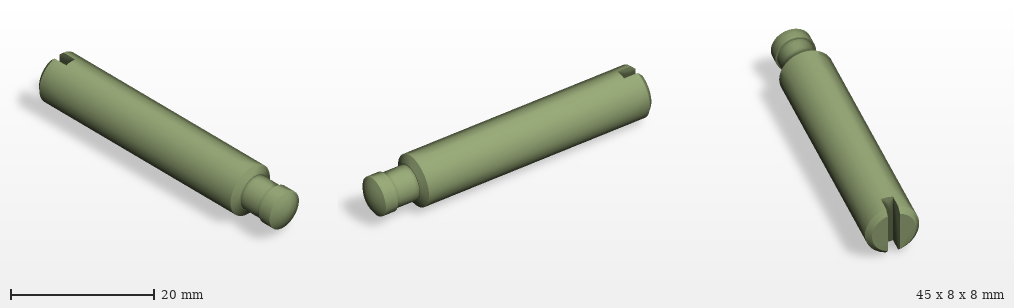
import cadquery as cq
import math

total_length = 45.0
shoulder_end = 38.2
head_start = 42.0
head_rim_end = 44.0

body_radius = 8.0 / 2
neck_radius = 5.4 / 2
head_radius = 6.0 / 2

slotted_end_chamfer = 0.75
shoulder_bevel_length = 0.7
shoulder_bevel_depth = 1.15

slot_width = 1.8
slot_depth = 3.0


def turned_body():
    """Revolve the half profile of the pin about the X axis."""
    dome_height = total_length - head_rim_end
    dome_radius = (head_radius**2 + dome_height**2) / (2 * dome_height)
    half_angle = math.asin(head_radius / dome_radius) / 2
    dome_middle = (
        total_length - dome_radius * (1 - math.cos(half_angle)),
        dome_radius * math.sin(half_angle),
    )
    profile = (
        cq.Workplane("XY")
        .moveTo(0, 0)
        .lineTo(0, body_radius - slotted_end_chamfer)
        .lineTo(slotted_end_chamfer, body_radius)
        .lineTo(shoulder_end - shoulder_bevel_length, body_radius)
        .lineTo(shoulder_end, body_radius - shoulder_bevel_depth)
        .lineTo(shoulder_end, neck_radius)
        .lineTo(head_start, neck_radius)
        .lineTo(head_start, head_radius)
        .lineTo(head_rim_end, head_radius)
        .threePointArc(dome_middle, (total_length, 0))
        .close()
    )
    return profile.revolve(360, (0, 0, 0), (1, 0, 0))


def screwdriver_slot():
    """Block that cuts across the full diameter along Z."""
    return cq.Workplane("XY").box(
        slot_depth, slot_width, 2 * body_radius, centered=(False, True, True)
    )


result = turned_body().cut(screwdriver_slot())